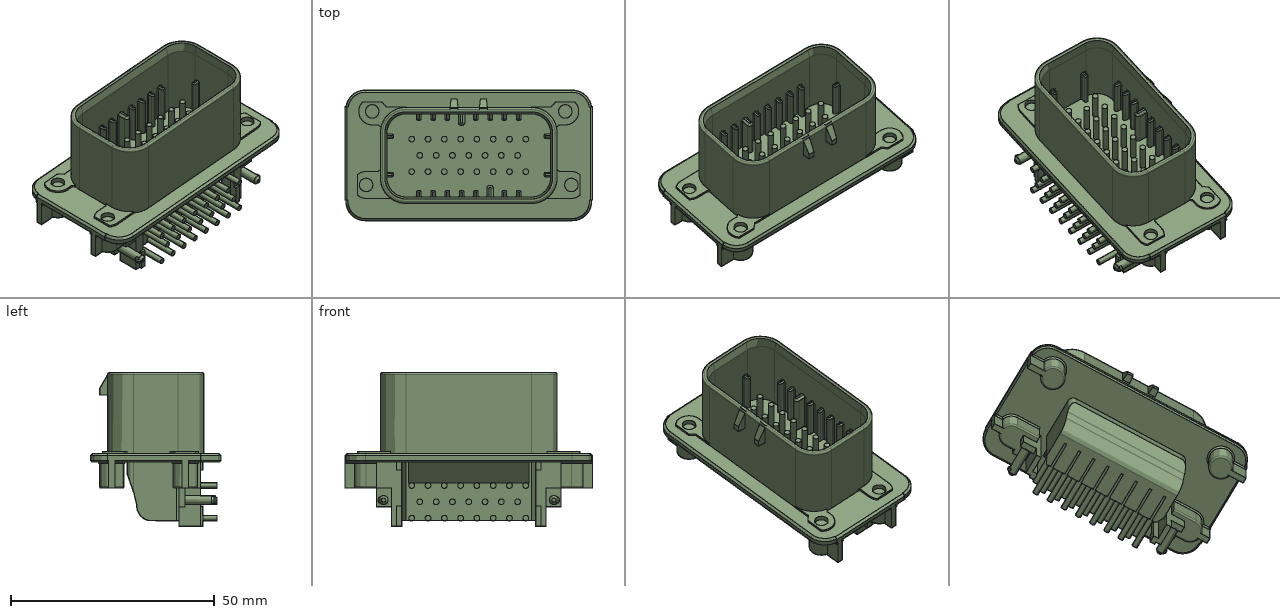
import cadquery as cq


FLANGE_Y = 32.1
FLANGE_X = 60.4
FLANGE_T = 2.1
FLANGE_R = 4.8
TOP_CHAMFER = 0.55
BOTTOM_CHAMFER = 0.4
END_LAND_X = 60.8
END_LAND_FRONT = -11.0
END_LAND_REAR = 11.85

SHROUD_X = 43.4
SHROUD_Y = 23.6
SHROUD_H = 19.9
SHROUD_R = 6.3
WALL = 1.6
RIM_FILLET = 0.5
MOUTH_BEVEL_W = 0.5
MOUTH_BEVEL_H = 2.2
MOUTH_LAND = 0.01
FLOOR_Z = 0.0

LATCH_X = 3.6
LATCH_REACH = 2.0
LATCH_BASE_W = 1.95
LATCH_TIP_W = 1.5
LATCH_BOTTOM_Z = 14.35
LATCH_TIP_TOP_Z = 15.95
LATCH_ROOT_DEPTH = 0.3

RIB_PITCH = 3.5
RIBS_PER_WALL = 8
RIB_W = 1.1
RIB_LENGTH = 1.6
RIB_TIP_R = 0.4
RIB_ROOT_FLARE = 0.25
RIB_TOP_CHAMFER = 0.35
RIB_TOP_Z = 10.0
KEY_W = 1.6
KEY_LENGTH = 2.85
KEY_TIP_R = 0.75
KEY_TOP_CHAMFER = 0.55
REAR_KEY = 3
FRONT_KEY = 5
END_RIB_Y = 4.7

HOLE_D = 3.3
HOLE_DEPTH = 1.2
PAD_H = 0.5
PAD_R = 3.3
FRONT_HOLE = (25.2, -7.25)
REAR_HOLE = (23.7, 10.8)
FRONT_PAD_OUTER_X = 27.3
REAR_PAD_BACK_Y = 13.1
REAR_PAD_NECK_Y = 11.85
REAR_PAD_SHOULDER_X = 21.35
PAD_FLARE = 0.5
BOSS_R = 3.0
BOSS_BOTTOM_Z = -8.5
BOSS_EDGE = 0.4
STRUT_T = 1.5

BODY_HALF_X = 16.5
BODY_FRONT_HALF_X = 15.4
BODY_FRONT_Y = -7.0
BODY_TAPER_Y = -5.06
BODY_BOTTOM_Z = -16.5
BODY_REAR_Y = 7.0
BODY_REAR_R = 1.5
REAR_SLOPE_TOP_Z = -5.1
REAR_SLOPE_KNEE = (5.4, -9.7)
REAR_CURVE_START = (4.7, -12.6)
REAR_CURVE_MIDDLE = (3.9, -15.1)
REAR_CURVE_END_Y = 1.7
GUSSET_X = 29.5
GUSSET_BOTTOM_Z = -7.25
GUSSET_DEPTH = 3.0

LEG_INNER_X = 16.4
LEG_STEP_X = 19.0
LEG_OUTER_X = 22.7
LEG_FRONT_Y = -11.0
LEG_BACK_Y = -5.65
LEG_BOTTOM_Z = -17.9
LEG_LIP_T = 1.2
PEG_PLATE_T = 1.55
PEG_PLATE_BOTTOM_Z = -13.1
LIP_W = 1.3
FOOT_T = 0.6
UPPER_FOOT_BOTTOM_Z = -4.1
LOWER_FOOT_TOP_Z = -12.95
PEG_X = 20.9
PEG_Z = -11.45
PEG_R = 1.1
PEG_CHAMFER = 0.6
BARB_OFFSET = 0.55
BARB_R = 0.85
BARB_BACK_Y = -13.65
BARB_FRONT_Y = -14.3

PIN_D = 1.4
PIN_PITCH = 4.0
PIN_ROW_PITCH = 4.0
PIN_TOP_Z = 7.2
PIN_FRONT_Y = -15.1
PIN_MID_ROW_Z = -11.87
PIN_ROWS = ((-1, 8), (0, 7), (1, 8))


def box(x0, x1, y0, y1, z0, z1):
    """Box between two opposite corners."""
    return cq.Workplane("XY").box(x1 - x0, y1 - y0, z1 - z0, centered=False).translate((x0, y0, z0))


def both_sides(shape):
    """The shape together with its mirror image across X = 0."""
    return shape.union(shape.mirror("YZ"))


def rounded_block(x_size, y_size, radius, z0, z1):
    """Upright block with rounded corners, centred on the Z axis."""
    block = cq.Workplane("XY").workplane(offset=z0).rect(x_size, y_size).extrude(z1 - z0)
    return block.edges("|Z").fillet(radius)


def make_flange():
    plate = rounded_block(FLANGE_X, FLANGE_Y, FLANGE_R, -FLANGE_T, 0)
    plate = plate.faces(">Z").chamfer(TOP_CHAMFER).faces("<Z").chamfer(BOTTOM_CHAMFER)
    half = END_LAND_X / 2
    land = box(-half, half, END_LAND_FRONT, END_LAND_REAR, -FLANGE_T, 0)
    land = land.edges("|Y and >Z").chamfer(TOP_CHAMFER).edges("|Y and <Z").chamfer(BOTTOM_CHAMFER)
    return plate.union(land)


def make_pads():
    x, y = FRONT_HOLE
    front = cq.Workplane("XY").center(x, y).circle(PAD_R).extrude(PAD_H)
    front = front.union(box(0, x, y - PAD_R, y + PAD_R, 0, PAD_H))
    front = front.intersect(box(0, FRONT_PAD_OUTER_X, y - PAD_R, y + PAD_R, 0, PAD_H))
    x, y = REAR_HOLE
    rear = cq.Workplane("XY").center(x, y).circle(PAD_R).extrude(PAD_H)
    shoulder_drop = REAR_PAD_BACK_Y - REAR_PAD_NECK_Y
    neck = (
        cq.Workplane("XY")
        .moveTo(x, y - PAD_R)
        .lineTo(x, REAR_PAD_BACK_Y)
        .lineTo(REAR_PAD_SHOULDER_X, REAR_PAD_BACK_Y)
        .lineTo(REAR_PAD_SHOULDER_X - shoulder_drop, REAR_PAD_NECK_Y)
        .lineTo(SHROUD_X / 2 - SHROUD_R, REAR_PAD_NECK_Y)
        .lineTo(SHROUD_X / 2 - SHROUD_R, y - PAD_R)
        .close()
        .extrude(PAD_H)
    )
    rear = rear.union(neck)
    rear = rear.intersect(box(0, x + PAD_R, y - PAD_R, REAR_PAD_BACK_Y, 0, PAD_H))
    pads = front.union(rear)
    wall_x = SHROUD_X / 2
    for edge_y, step in ((FRONT_HOLE[1] + PAD_R, PAD_FLARE), (REAR_HOLE[1] - PAD_R, -PAD_FLARE)):
        flare = (
            cq.Workplane("XY")
            .polyline([(wall_x - PAD_FLARE, edge_y), (wall_x + PAD_FLARE, edge_y), (wall_x, edge_y + step)])
            .lineTo(wall_x - PAD_FLARE, edge_y + step)
            .close()
            .extrude(PAD_H)
        )
        pads = pads.union(flare)
    return both_sides(pads)


def make_screw_holes():
    holes = cq.Workplane("XY").workplane(offset=PAD_H - HOLE_DEPTH)
    holes = holes.pushPoints([FRONT_HOLE, REAR_HOLE]).circle(HOLE_D / 2).extrude(HOLE_DEPTH)
    return both_sides(holes)


def flared_web(x0, x1, y, thickness):
    """Web along X below the flange, flared where it meets the flange underside."""
    length = x1 - x0
    web = box(x0, x1, y - thickness / 2, y + thickness / 2, BOSS_BOTTOM_Z, -FLANGE_T)
    flare = (
        cq.Workplane("XY", origin=((x0 + x1) / 2, y, -FLANGE_T))
        .rect(length, thickness + 2 * BOSS_EDGE)
        .workplane(offset=-BOSS_EDGE)
        .rect(length, thickness)
        .loft()
    )
    return web.union(flare)


def make_boss(x, y):
    """Round boss, rounded at its foot and flared at the flange."""
    post = cq.Workplane("XY", origin=(x, y, BOSS_BOTTOM_Z)).circle(BOSS_R)
    post = post.extrude(-FLANGE_T - BOSS_BOTTOM_Z)
    post = post.faces("<Z").edges().fillet(BOSS_EDGE)
    flare = (
        cq.Workplane("XY", origin=(x, y, -FLANGE_T))
        .circle(BOSS_R + BOSS_EDGE)
        .workplane(offset=-BOSS_EDGE)
        .circle(BOSS_R)
        .loft()
    )
    return post.union(flare)


def make_bosses():
    land_x = END_LAND_X / 2
    bosses = cq.Workplane("XY")
    for x, y in (FRONT_HOLE, REAR_HOLE):
        strut_cap = box(x, land_x, y - STRUT_T / 2, y + STRUT_T / 2, -FLANGE_T, -TOP_CHAMFER)
        bosses = bosses.add(make_boss(x, y)).add(flared_web(x, land_x, y, STRUT_T)).add(strut_cap)
    x, y = FRONT_HOLE
    bridge = flared_web(LEG_STEP_X, x, y, 2 * BOSS_R).faces("<Z").edges("|X").fillet(BOSS_EDGE)
    return both_sides(bosses.add(bridge).combine())


def make_shroud():
    shroud = rounded_block(SHROUD_X, SHROUD_Y, SHROUD_R, -FLANGE_T, SHROUD_H)
    return shroud.faces(">Z").edges().fillet(RIM_FILLET)


def make_cavity():
    inner_x = SHROUD_X - 2 * WALL
    inner_y = SHROUD_Y - 2 * WALL
    cavity = rounded_block(inner_x, inner_y, SHROUD_R - WALL, FLOOR_Z, SHROUD_H)
    mouth_r = SHROUD_R - WALL + MOUTH_BEVEL_W
    mouth = rounded_block(
        inner_x + 2 * MOUTH_BEVEL_W, inner_y + 2 * MOUTH_BEVEL_W, mouth_r, SHROUD_H - MOUTH_BEVEL_H, SHROUD_H
    )
    mouth = mouth.faces("<Z").edges().chamfer(MOUTH_BEVEL_H - MOUTH_LAND, MOUTH_BEVEL_W)
    return cavity.union(mouth)


def make_latches():
    base_y = SHROUD_Y / 2 - WALL / 2
    wall_y = SHROUD_Y / 2
    tip_y = wall_y + LATCH_REACH
    side = (
        cq.Workplane("YZ")
        .polyline(
            [
                (base_y, LATCH_BOTTOM_Z),
                (tip_y, LATCH_BOTTOM_Z),
                (tip_y, LATCH_TIP_TOP_Z),
                (wall_y - LATCH_ROOT_DEPTH, SHROUD_H),
                (base_y, SHROUD_H),
            ]
        )
        .close()
        .extrude(LATCH_BASE_W / 2, both=True)
    )
    plan = (
        cq.Workplane("XY")
        .workplane(offset=LATCH_BOTTOM_Z)
        .polyline(
            [
                (-LATCH_BASE_W / 2, base_y),
                (LATCH_BASE_W / 2, base_y),
                (LATCH_BASE_W / 2, wall_y),
                (LATCH_TIP_W / 2, tip_y),
                (-LATCH_TIP_W / 2, tip_y),
                (-LATCH_BASE_W / 2, wall_y),
            ]
        )
        .close()
        .extrude(SHROUD_H - LATCH_BOTTOM_Z)
    )
    return both_sides(side.intersect(plan).translate((LATCH_X, 0, 0)))


def make_rib(width, length, tip_radius, top_chamfer):
    """Round-tipped rib with a flared root, reaching along +Y from a wall face at Y = 0."""
    half = width / 2
    height = RIB_TOP_Z - FLOOR_Z
    rib = box(-half, half, -WALL / 2, length, FLOOR_Z, RIB_TOP_Z)
    rib = rib.faces(">Y").edges("|Z").fillet(tip_radius)
    rib = rib.faces(">Z").edges("not <Y").chamfer(top_chamfer)
    root = (
        cq.Workplane("XY")
        .workplane(offset=FLOOR_Z)
        .polyline([(-half - RIB_ROOT_FLARE, 0), (half + RIB_ROOT_FLARE, 0), (half, RIB_ROOT_FLARE)])
        .lineTo(-half, RIB_ROOT_FLARE)
        .close()
        .extrude(height - top_chamfer)
    )
    return rib.union(root)


def make_ribs():
    plain = make_rib(RIB_W, RIB_LENGTH, RIB_TIP_R, RIB_TOP_CHAMFER)
    key = make_rib(KEY_W, KEY_LENGTH, KEY_TIP_R, KEY_TOP_CHAMFER)
    wall_x = SHROUD_X / 2 - WALL
    wall_y = SHROUD_Y / 2 - WALL
    ribs = cq.Workplane("XY")
    for i in range(RIBS_PER_WALL):
        x = (i - (RIBS_PER_WALL - 1) / 2) * RIB_PITCH
        front = key if i == FRONT_KEY else plain
        rear = key if i == REAR_KEY else plain
        ribs = ribs.add(front.translate((x, -wall_y, 0)))
        ribs = ribs.add(rear.rotate((0, 0, 0), (0, 0, 1), 180).translate((x, wall_y, 0)))
    for y in (-END_RIB_Y, END_RIB_Y):
        ribs = ribs.add(plain.rotate((0, 0, 0), (0, 0, 1), -90).translate((-wall_x, y, 0)))
        ribs = ribs.add(plain.rotate((0, 0, 0), (0, 0, 1), 90).translate((wall_x, y, 0)))
    return ribs.combine()


def make_body():
    profile = (
        cq.Workplane("YZ")
        .moveTo(BODY_FRONT_Y, -FLANGE_T)
        .lineTo(BODY_FRONT_Y, BODY_BOTTOM_Z)
        .lineTo(REAR_CURVE_END_Y, BODY_BOTTOM_Z)
        .threePointArc(REAR_CURVE_MIDDLE, REAR_CURVE_START)
        .lineTo(*REAR_SLOPE_KNEE)
        .lineTo(BODY_REAR_Y, REAR_SLOPE_TOP_Z)
        .lineTo(BODY_REAR_Y, -FLANGE_T)
        .close()
        .extrude(BODY_HALF_X, both=True)
    )
    plan = (
        cq.Workplane("XY")
        .workplane(offset=BODY_BOTTOM_Z)
        .polyline(
            [
                (-BODY_FRONT_HALF_X, BODY_FRONT_Y),
                (BODY_FRONT_HALF_X, BODY_FRONT_Y),
                (BODY_HALF_X, BODY_TAPER_Y),
                (BODY_HALF_X, BODY_REAR_Y),
                (-BODY_HALF_X, BODY_REAR_Y),
                (-BODY_HALF_X, BODY_TAPER_Y),
            ]
        )
        .close()
        .extrude(-FLANGE_T - BODY_BOTTOM_Z)
        .edges("|Z and >Y")
        .fillet(BODY_REAR_R)
    )
    return profile.intersect(plan)


def make_gusset():
    """Sloped web between the housing front and the flange underside."""
    return (
        cq.Workplane("YZ")
        .polyline(
            [
                (BODY_FRONT_Y, GUSSET_BOTTOM_Z),
                (BODY_FRONT_Y - GUSSET_DEPTH, -FLANGE_T),
                (BODY_FRONT_Y, -FLANGE_T),
            ]
        )
        .close()
        .extrude(GUSSET_X / 2, both=True)
    )


def make_legs():
    lip_outer_x = LEG_INNER_X + LIP_W
    leg = box(lip_outer_x, LEG_STEP_X, LEG_FRONT_Y, LEG_BACK_Y, LEG_BOTTOM_Z, -FLANGE_T)
    lip = box(LEG_INNER_X, lip_outer_x, LEG_FRONT_Y, LEG_FRONT_Y + LEG_LIP_T, LEG_BOTTOM_Z, -FLANGE_T)
    shoulder = box(LEG_STEP_X, LEG_OUTER_X, LEG_FRONT_Y, LEG_BACK_Y, BOSS_BOTTOM_Z, -FLANGE_T)
    plate = box(
        LEG_STEP_X, LEG_OUTER_X, LEG_BACK_Y - PEG_PLATE_T, LEG_BACK_Y, PEG_PLATE_BOTTOM_Z, BOSS_BOTTOM_Z
    )
    leg = leg.union(lip).union(shoulder).union(plate)
    for z0, z1 in ((UPPER_FOOT_BOTTOM_Z, -FLANGE_T), (LEG_BOTTOM_Z, LOWER_FOOT_TOP_Z)):
        foot = box(LEG_INNER_X, lip_outer_x, LEG_FRONT_Y - FOOT_T, LEG_FRONT_Y, z0, z1)
        leg = leg.union(foot)
    return both_sides(leg)


def rod(x, z, radius, back_y, front_y):
    """Round rod running along Y."""
    return cq.Workplane("XZ", origin=(x, back_y, z)).circle(radius).extrude(back_y - front_y)


def make_pegs():
    peg = rod(PEG_X, PEG_Z, PEG_R, LEG_BACK_Y - PEG_PLATE_T / 2, PIN_FRONT_Y)
    peg = peg.faces("<Y").edges().chamfer(PEG_CHAMFER)
    barb = rod(PEG_X + BARB_OFFSET, PEG_Z, BARB_R, BARB_BACK_Y, BARB_FRONT_Y)
    nose = (
        cq.Workplane("XZ", origin=(PEG_X + BARB_OFFSET, BARB_FRONT_Y, PEG_Z))
        .circle(BARB_R)
        .workplane(offset=BARB_FRONT_Y - PIN_FRONT_Y)
        .center(-BARB_OFFSET, 0)
        .circle(PEG_R - PEG_CHAMFER)
        .loft()
    )
    return both_sides(peg.union(barb).union(nose))


def make_pins():
    pins = cq.Workplane("XY")
    for row, count in PIN_ROWS:
        y = row * PIN_ROW_PITCH
        z = PIN_MID_ROW_Z + row * PIN_ROW_PITCH
        for i in range(count):
            x = (i - (count - 1) / 2) * PIN_PITCH
            contact = cq.Workplane("XY", origin=(x, y, -FLANGE_T)).circle(PIN_D / 2)
            pins = pins.add(contact.extrude(PIN_TOP_Z + FLANGE_T))
            pins = pins.add(rod(x, z, PIN_D / 2, 0, PIN_FRONT_Y))
    return pins


result = make_flange().union(make_shroud()).union(make_pads())
result = result.cut(make_cavity())
result = result.union(make_latches()).union(make_ribs())
result = result.union(make_body()).union(make_gusset()).union(make_legs())
result = result.union(make_bosses()).union(make_pegs()).union(make_pins())
result = result.cut(make_screw_holes()).clean()